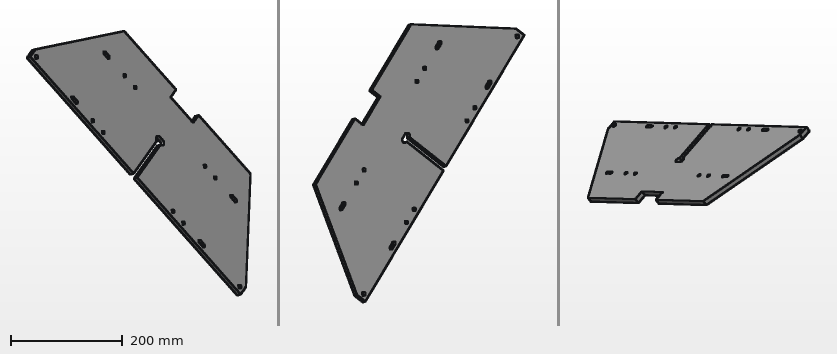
import cadquery as cq
import math

overall_x = 436.5
overall_z = 426.0
thickness = 10.0
width = 195.0

length = math.sqrt((overall_x**2 + overall_z**2 + 2 * thickness**2) / 2)
refinement_passes = 5
for _ in range(refinement_passes):
    tilt = math.pi / 4 - math.asin((overall_x - overall_z) / (length - thickness) / math.sqrt(2))
    length = (overall_x - thickness * math.sin(tilt)) / math.cos(tilt)

short_length = 360.5
end_height = 20.0
notch_length = 64.0
notch_depth = 20.0

window_length = 20.0
window_width = 10.0
window_height = 93.0
slit_width = 10.0

hole_diameter = 5.5
hole_offsets = (99.5, 129.2)
slot_offset = 181.0
slot_length = 16.5
row_heights = (10.0, 130.0)
corner_hole_diameter = 6.5
corner_hole_inset = 10.0

bottom = -width / 2
top = width / 2


def cutter():
    return cq.Workplane("XY").workplane(offset=-thickness)


cut_depth = 2 * thickness


def plate_blank():
    outline = [
        (-length / 2, bottom),
        (length / 2, bottom),
        (length / 2, bottom + end_height),
        (short_length / 2, top),
        (-short_length / 2, top),
        (-length / 2, bottom + end_height),
    ]
    return cq.Workplane("XY").polyline(outline).close().extrude(thickness / 2, both=True)


def edge_notch():
    return cutter().center(0, top).rect(notch_length, 2 * notch_depth).extrude(cut_depth)


def keyhole():
    window = cutter().center(0, bottom + window_height).slot2D(window_length, window_width).extrude(cut_depth)
    slit = cutter().center(0, bottom + window_height / 2).rect(slit_width, window_height).extrude(cut_depth)
    return window.union(slit)


def mounting_holes():
    rows = [bottom + height for height in row_heights]
    hole_points = [(side * x, y) for side in (-1, 1) for x in hole_offsets for y in rows]
    slot_points = [(side * slot_offset, y) for side in (-1, 1) for y in rows]
    holes = cutter().pushPoints(hole_points).circle(hole_diameter / 2).extrude(cut_depth)
    slots = cutter().pushPoints(slot_points).slot2D(slot_length, hole_diameter).extrude(cut_depth)
    return holes.add(slots).combine()


def corner_holes():
    x = length / 2 - corner_hole_inset
    y = bottom + row_heights[0]
    return cutter().pushPoints([(-x, y), (x, y)]).circle(corner_hole_diameter / 2).extrude(cut_depth)


plate = plate_blank().cut(edge_notch()).cut(keyhole()).cut(mounting_holes()).cut(corner_holes())

result = plate.rotate((0, 0, 0), (0, 1, 0), math.degrees(tilt))